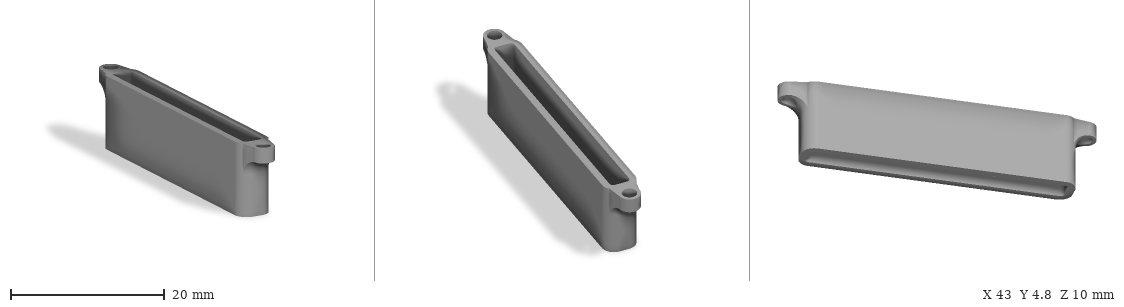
import cadquery as cq
import math

total_length = 43.0
body_length = 37.0
body_width = 4.8
height = 10.0
corner_radius = 1.7

wall = 1.0
opening_corner_radius = 0.5

ear_radius = 1.5
ear_thickness = 2.0
ear_root_half_width = 1.9
ear_fillet_radius = 2.0
hole_diameter = 2.0

body_half_length = body_length / 2
ear_center_x = total_length / 2 - ear_radius
ear_bottom_z = height - ear_thickness

corner_center_x = body_half_length - corner_radius
corner_center_y = body_width / 2 - corner_radius
root_rise = ear_root_half_width - corner_center_y
root_x = corner_center_x + math.sqrt(corner_radius**2 - root_rise**2)


def rounded_prism(length, width, radius):
    """Full-height block with rounded vertical corners, standing on Z = 0."""
    block = cq.Workplane("XY").box(length, width, height, centered=(True, True, False))
    return block.edges("|Z").fillet(radius)


def ear_outline_prism(bottom_z):
    """Tapered ear outline with a round tip at +X, extruded from bottom_z to the top."""
    return (
        cq.Workplane("XY", origin=(0, 0, bottom_z))
        .moveTo(corner_center_x, -corner_center_y)
        .lineTo(root_x, -ear_root_half_width)
        .lineTo(ear_center_x, -ear_radius)
        .threePointArc((total_length / 2, 0), (ear_center_x, ear_radius))
        .lineTo(root_x, ear_root_half_width)
        .lineTo(corner_center_x, corner_center_y)
        .close()
        .extrude(height - bottom_z)
    )


def flare_profile(y):
    """Concave quarter-round section in a plane of constant Y, measured from the corner centre."""
    arc_offset = ear_fillet_radius * (1 - math.sqrt(0.5))
    return (
        cq.Workplane("XZ", origin=(corner_center_x, y, ear_bottom_z))
        .lineTo(corner_radius + ear_fillet_radius, 0)
        .threePointArc(
            (corner_radius + arc_offset, -arc_offset),
            (corner_radius, -ear_fillet_radius),
        )
        .lineTo(0, -ear_fillet_radius)
        .close()
    )


def flare():
    """Fillet under the ear, following the flat end and both rounded corners of the body."""
    shape = flare_profile(corner_center_y).extrude(2 * corner_center_y)
    for y in (-corner_center_y, corner_center_y):
        shape = shape.union(flare_profile(y).revolve(360, (0, 0), (0, 1)))
    return shape


def ear():
    """Ear at +X with the fillet beneath it trimmed to the ear outline."""
    fillet = flare().intersect(ear_outline_prism(ear_bottom_z - ear_fillet_radius))
    return ear_outline_prism(ear_bottom_z).union(fillet)


right_ear = ear()
left_ear = right_ear.mirror("YZ")
result = rounded_prism(body_length, body_width, corner_radius).union(right_ear).union(left_ear)

opening = rounded_prism(body_length - 2 * wall, body_width - 2 * wall, opening_corner_radius)
holes = (
    cq.Workplane("XY")
    .pushPoints([(-ear_center_x, 0), (ear_center_x, 0)])
    .circle(hole_diameter / 2)
    .extrude(height)
)
result = result.cut(opening).cut(holes)